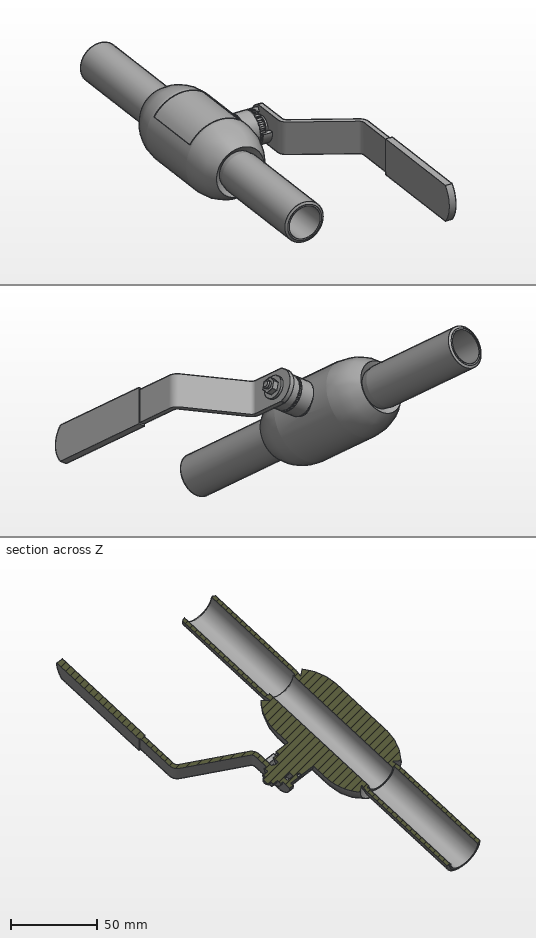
import cadquery as cq
import math


PIPE_HALF_LENGTH = 114.7
PIPE_RADIUS = 13.0
PIPE_BORE_RADIUS = 10.5
PIPE_BEVEL_LENGTH = 0.8
PIPE_BEVEL_DEPTH = 1.5
PORT_RADIUS = 9.2
BODY_RADIUS = 24.0
BARREL_HALF_LENGTH = 22.0
BODY_HALF_LENGTH = 42.8
BODY_END_RADIUS = 16.2

GROOVE_WIDTH = 1.5
GROOVE_DEPTH = 3.0
GROOVE_ROOT_RADIUS = 12.3

PLATE_THICKNESS = 0.3
PLATE_HALF_LENGTH = 20.0
PLATE_START_ANGLE = 57
PLATE_SWEEP = 90

NECK_RADIUS = 10.3
COLLAR_RADIUS = 11.0
COLLAR_BOTTOM = 23.9
COLLAR_TOP = 33.4
RING_RADIUS = 10.3
RING_TOP = 37.5
TOOTH_COUNT = 24
TOOTH_GAP = 1.3
TOOTH_DEPTH = 1.3
STEM_RADIUS = 5.0
STEM_FLANGE_RADIUS = 5.6
STEM_FLANGE_THICKNESS = 1.3

STOP_BOTTOM = 35.2
STOP_INNER_RADIUS = 8.0
STOP_OPENING_ANGLE = 120

STRIP_THICKNESS = 3.0
STRIP_HALF_WIDTH = 10.8
STRIP_BOTTOM = 41.5
LEVER_RISE = 41.0
LEVER_ANGLE = 60
LEVER_BEND_X = 18.2
HUB_END_X = -13.0
HUB_ARC_START_X = -5.5
BEND_INNER_RADIUS = 3.0

SLEEVE_WALL = 0.8
SLEEVE_SIDE_WALL = 1.0
SLEEVE_START_X = 70.8
SLEEVE_ARC_X = 137.5
SLEEVE_END_X = 256.5 - PIPE_HALF_LENGTH

WASHER_RADIUS = 7.2
WASHER_THICKNESS = 1.5
NUT_CORNER_RADIUS = 5.0
NUT_HEIGHT = 3.5
NUT_TURN = 15
STUD_RADIUS = 2.5
STUD_PROJECTION = 2.3
STUD_CHAMFER = 0.8

STRIP_TOP = STRIP_BOTTOM + STRIP_THICKNESS


def y_disc(radius, bottom, top):
    """Cylinder about the stem axis between two heights."""
    return cq.Workplane("XZ", origin=(0, bottom, 0)).circle(radius).extrude(bottom - top)


def x_cylinder(radius, half_length):
    """Cylinder about the pipe axis, centred on the origin."""
    return cq.Workplane("YZ").circle(radius).extrude(half_length, both=True)


def make_pipe():
    """Solid pipe bar with both ends bevelled for welding."""
    shoulder_x = PIPE_HALF_LENGTH - PIPE_BEVEL_LENGTH
    tip_radius = PIPE_RADIUS - PIPE_BEVEL_DEPTH
    return (
        cq.Workplane("XY")
        .moveTo(-PIPE_HALF_LENGTH, 0)
        .lineTo(-PIPE_HALF_LENGTH, tip_radius)
        .lineTo(-shoulder_x, PIPE_RADIUS)
        .lineTo(shoulder_x, PIPE_RADIUS)
        .lineTo(PIPE_HALF_LENGTH, tip_radius)
        .lineTo(PIPE_HALF_LENGTH, 0)
        .close()
        .revolve(360, (0, 0, 0), (1, 0, 0))
    )


def make_body():
    """Barrel with domed ends, each dome tangent to the barrel."""
    dome_length = BODY_HALF_LENGTH - BARREL_HALF_LENGTH
    dome_drop = BODY_RADIUS - BODY_END_RADIUS
    dome_radius = (dome_length**2 + dome_drop**2) / (2 * dome_drop)
    half_angle = math.asin(dome_length / dome_radius) / 2
    mid_x = BARREL_HALF_LENGTH + dome_radius * math.sin(half_angle)
    mid_r = BODY_RADIUS - dome_radius * (1 - math.cos(half_angle))
    return (
        cq.Workplane("XY")
        .moveTo(-BODY_HALF_LENGTH, 0)
        .lineTo(-BODY_HALF_LENGTH, BODY_END_RADIUS)
        .threePointArc((-mid_x, mid_r), (-BARREL_HALF_LENGTH, BODY_RADIUS))
        .lineTo(BARREL_HALF_LENGTH, BODY_RADIUS)
        .threePointArc((mid_x, mid_r), (BODY_HALF_LENGTH, BODY_END_RADIUS))
        .lineTo(BODY_HALF_LENGTH, 0)
        .close()
        .revolve(360, (0, 0, 0), (1, 0, 0))
    )


def make_weld_groove():
    """V-shaped ring at the +X end of the body."""
    return (
        cq.Workplane("XY")
        .moveTo(BODY_HALF_LENGTH + GROOVE_WIDTH, PIPE_RADIUS)
        .lineTo(BODY_HALF_LENGTH, BODY_END_RADIUS)
        .lineTo(BODY_HALF_LENGTH - GROOVE_DEPTH, GROOVE_ROOT_RADIUS)
        .close()
        .revolve(360, (0, 0, 0), (1, 0, 0))
    )


def make_name_plate():
    """Thin curved plate standing proud of the barrel."""
    return (
        cq.Workplane("XY")
        .center(0, BODY_RADIUS)
        .rect(2 * PLATE_HALF_LENGTH, 2 * PLATE_THICKNESS)
        .revolve(PLATE_SWEEP, (0, -BODY_RADIUS, 0), (1, -BODY_RADIUS, 0))
        .rotate((0, 0, 0), (1, 0, 0), PLATE_START_ANGLE)
    )


def make_toothed_ring():
    """Ring between the collar and the stop wall, notched round its rim."""
    ring = y_disc(RING_RADIUS, COLLAR_TOP, RING_TOP)
    notch = cq.Workplane("XY").box(2 * TOOTH_DEPTH, RING_TOP - COLLAR_TOP, TOOTH_GAP)
    notch = notch.translate((RING_RADIUS, (COLLAR_TOP + RING_TOP) / 2, 0))
    for index in range(TOOTH_COUNT):
        ring = ring.cut(notch.rotate((0, 0, 0), (0, 1, 0), index * 360 / TOOTH_COUNT))
    return ring


def make_stop():
    """Curved stop wall around the stem, open over one sector."""
    return (
        cq.Workplane("XY")
        .moveTo(STOP_INNER_RADIUS, STOP_BOTTOM)
        .lineTo(COLLAR_RADIUS, STOP_BOTTOM)
        .lineTo(COLLAR_RADIUS, STRIP_BOTTOM)
        .lineTo(STOP_INNER_RADIUS, STRIP_BOTTOM)
        .close()
        .revolve(360 - STOP_OPENING_ANGLE, (0, 0, 0), (0, 1, 0))
    )


def make_stem_housing():
    """Neck, collar, toothed ring, stem with its flange, and lever stop."""
    return (
        y_disc(NECK_RADIUS, 0, COLLAR_BOTTOM)
        .union(y_disc(COLLAR_RADIUS, COLLAR_BOTTOM, COLLAR_TOP))
        .union(make_toothed_ring())
        .union(y_disc(STEM_RADIUS, RING_TOP, STRIP_BOTTOM))
        .union(y_disc(STEM_FLANGE_RADIUS, STRIP_BOTTOM - STEM_FLANGE_THICKNESS, STRIP_BOTTOM))
        .union(make_stop())
    )


def make_strip():
    """Lever bent from flat strip, with a rounded hub end."""
    slope = math.radians(LEVER_ANGLE)
    run = LEVER_RISE / math.tan(slope)
    miter = STRIP_THICKNESS * math.tan(slope / 2)
    upper_x = LEVER_BEND_X + run
    strip = (
        cq.Workplane("XY")
        .moveTo(HUB_END_X, STRIP_TOP)
        .lineTo(LEVER_BEND_X, STRIP_TOP)
        .lineTo(upper_x, STRIP_TOP + LEVER_RISE)
        .lineTo(SLEEVE_ARC_X, STRIP_TOP + LEVER_RISE)
        .lineTo(SLEEVE_ARC_X, STRIP_BOTTOM + LEVER_RISE)
        .lineTo(upper_x + miter, STRIP_BOTTOM + LEVER_RISE)
        .lineTo(LEVER_BEND_X + miter, STRIP_BOTTOM)
        .lineTo(HUB_END_X, STRIP_BOTTOM)
        .close()
        .extrude(STRIP_HALF_WIDTH, both=True)
    )
    bends = (
        (LEVER_BEND_X, STRIP_TOP, BEND_INNER_RADIUS),
        (LEVER_BEND_X + miter, STRIP_BOTTOM, BEND_INNER_RADIUS + STRIP_THICKNESS),
        (upper_x + miter, STRIP_BOTTOM + LEVER_RISE, BEND_INNER_RADIUS),
        (upper_x, STRIP_TOP + LEVER_RISE, BEND_INNER_RADIUS + STRIP_THICKNESS),
    )
    for x, y, radius in bends:
        strip = strip.edges(cq.NearestToPointSelector((x, y, 0))).fillet(radius)

    outline = (
        cq.Workplane("XZ")
        .moveTo(SLEEVE_ARC_X, -STRIP_HALF_WIDTH)
        .lineTo(HUB_ARC_START_X, -STRIP_HALF_WIDTH)
        .threePointArc((HUB_END_X, 0), (HUB_ARC_START_X, STRIP_HALF_WIDTH))
        .lineTo(SLEEVE_ARC_X, STRIP_HALF_WIDTH)
        .close()
        .extrude(-(STRIP_TOP + LEVER_RISE))
    )
    return strip.intersect(outline)


def make_sleeve():
    """Closed grip sleeve with a curved end."""
    half_width = STRIP_HALF_WIDTH + SLEEVE_SIDE_WALL
    bottom = STRIP_BOTTOM + LEVER_RISE - SLEEVE_WALL
    return (
        cq.Workplane("XZ", origin=(0, bottom, 0))
        .moveTo(SLEEVE_START_X, -half_width)
        .lineTo(SLEEVE_ARC_X, -half_width)
        .threePointArc((SLEEVE_END_X, 0), (SLEEVE_ARC_X, half_width))
        .lineTo(SLEEVE_START_X, half_width)
        .close()
        .extrude(-(STRIP_THICKNESS + 2 * SLEEVE_WALL))
    )


def make_fastener():
    """Washer, hexagon nut and chamfered stud end."""
    nut_bottom = STRIP_TOP + WASHER_THICKNESS
    nut_top = nut_bottom + NUT_HEIGHT
    nut = (
        cq.Workplane("XZ", origin=(0, nut_bottom, 0))
        .polygon(6, 2 * NUT_CORNER_RADIUS)
        .extrude(-NUT_HEIGHT)
        .rotate((0, 0, 0), (0, 1, 0), NUT_TURN)
    )
    stud = y_disc(STUD_RADIUS, nut_bottom, nut_top + STUD_PROJECTION)
    stud = stud.faces(">Y").chamfer(STUD_CHAMFER)
    return y_disc(WASHER_RADIUS, STRIP_TOP, nut_bottom).union(nut).union(stud)


def make_bore():
    """Ball port through the body, opening into the wider pipe bores."""
    pipe_bore = x_cylinder(PIPE_BORE_RADIUS, PIPE_HALF_LENGTH)
    pipe_bore = pipe_bore.cut(x_cylinder(PIPE_BORE_RADIUS, BODY_HALF_LENGTH))
    return pipe_bore.union(x_cylinder(PORT_RADIUS, PIPE_HALF_LENGTH))


groove = make_weld_groove()

valve = make_body().union(make_pipe()).cut(groove).cut(groove.mirror("YZ"))
valve = valve.union(make_name_plate()).union(make_stem_housing()).cut(make_bore())
result = valve.union(make_strip()).union(make_sleeve()).union(make_fastener())